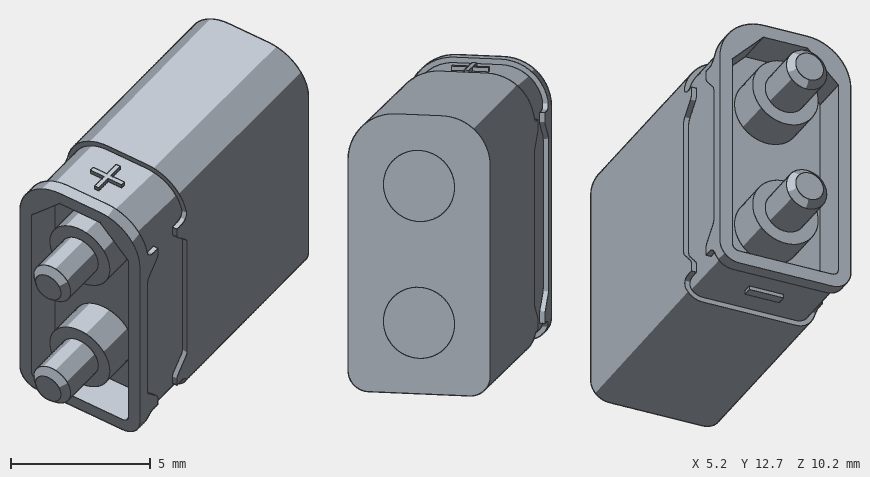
import cadquery as cq

width = 5.2
height = 10.2
length = 10.7
top_corner_radius = 1.75
bottom_corner_radius = 0.75

wall = 0.5
pocket_depth = 1.5
pocket_chamfer = 1.225
pocket_corner_radius = 0.25

band_depth = 0.2
band_front = 0.5
band_back = 3.0
band_middle = (band_front + band_back) / 2
band_width = band_back - band_front
neck_width = 1.2
neck_length = 0.4
band_corner_radius = 0.35
neck_corner_radius = 0.3

mark_height = 0.15
mark_length = 1.36
plus_stroke = 0.18
minus_stroke = 0.36

pin_pitch = 5.0
barrel_diameter = 2.6
tail_diameter = 1.6
tail_length = 2.0
tail_chamfer = 0.25
pin_heights = [height / 2 - pin_pitch / 2, height / 2 + pin_pitch / 2]


def prism(y_start, y_end, inset=0.0):
    """Rounded housing section, shrunk by the inset on all sides, between two y positions."""
    return (
        cq.Workplane("XY")
        .box(width - 2 * inset, y_end - y_start, height - 2 * inset)
        .translate((0, (y_start + y_end) / 2, height / 2))
        .edges("|Y and >Z")
        .fillet(top_corner_radius - inset)
        .edges("|Y and <Z")
        .fillet(bottom_corner_radius - inset)
    )


def pocket():
    """Pocket with two chamfered upper corners and two rounded lower corners."""
    return (
        cq.Workplane("XY")
        .box(width - 2 * wall, pocket_depth, height - 2 * wall)
        .translate((0, pocket_depth / 2, height / 2))
        .edges("|Y and >Z")
        .chamfer(pocket_chamfer)
        .edges("|Y and <Z")
        .fillet(pocket_corner_radius)
    )


def band_end(z_low, z_high, inner_edges):
    """Full-width stretch of the band over the top or bottom, rounded where it meets the flat sides."""
    return (
        cq.Workplane("XY")
        .box(width, band_width, z_high - z_low)
        .translate((0, band_middle, (z_low + z_high) / 2))
        .edges(inner_edges)
        .fillet(band_corner_radius)
    )


def side_window(z_low, z_high):
    """Wide panel on the flat sides that tapers to a neck at each end and runs on into the band ends."""
    half_band = band_width / 2
    half_neck = neck_width / 2
    taper = half_band - half_neck
    middle = (z_low + z_high) / 2
    neck_end = (z_high - z_low) / 2 + bottom_corner_radius
    neck_start = (z_high - z_low) / 2 - neck_length
    upper = [
        (half_band, neck_start - taper),
        (half_neck, neck_start),
        (half_neck, neck_end),
    ]
    right = [(y, -z) for y, z in reversed(upper)] + upper
    left = [(-y, -z) for y, z in right]
    return (
        cq.Workplane("YZ", origin=(0, band_middle, middle))
        .polyline(right + left)
        .close()
        .extrude(width / 2, both=True)
        .edges("|X")
        .fillet(neck_corner_radius)
    )


def band():
    """Material removed for the recessed band."""
    side_low = bottom_corner_radius
    side_high = height - top_corner_radius
    window = (
        side_window(side_low, side_high)
        .union(band_end(side_high, height, "|X and <Z"))
        .union(band_end(0, side_low, "|X and >Z"))
    )
    skin = prism(band_front, band_back).cut(prism(band_front, band_back, band_depth))
    return skin.intersect(window)


def mark_bar(x_size, y_size, z_floor, z_end):
    """Straight raised stroke centred on the band."""
    return (
        cq.Workplane("XY", origin=(0, band_middle, z_floor))
        .rect(x_size, y_size)
        .extrude(z_end - z_floor)
    )


def make_housing():
    top_floor = height - band_depth
    top_end = top_floor + mark_height
    bottom_end = band_depth - mark_height
    body = prism(0, length).cut(pocket()).cut(band())
    body = body.union(mark_bar(mark_length, plus_stroke, top_floor, top_end))
    body = body.union(mark_bar(plus_stroke, mark_length, top_floor, top_end))
    body = body.union(mark_bar(mark_length, minus_stroke, band_depth, bottom_end))
    for z in pin_heights:
        bore = cq.Workplane("XZ", origin=(0, 0, z)).circle(barrel_diameter / 2).extrude(-length)
        body = body.cut(bore)
    return body


def make_pin(z):
    """Stepped pin: barrel through the housing, thinner chamfered tail out of the terminal face."""
    terminal_face = cq.Workplane("XZ", origin=(0, 0, z))
    barrel = terminal_face.circle(barrel_diameter / 2).extrude(-length)
    tail = terminal_face.circle(tail_diameter / 2).extrude(tail_length).faces("<Y").chamfer(tail_chamfer)
    return barrel.union(tail)


housing = make_housing()
pins = [make_pin(z) for z in pin_heights]

result = cq.Compound.makeCompound([housing.val(), *[pin.val() for pin in pins]])